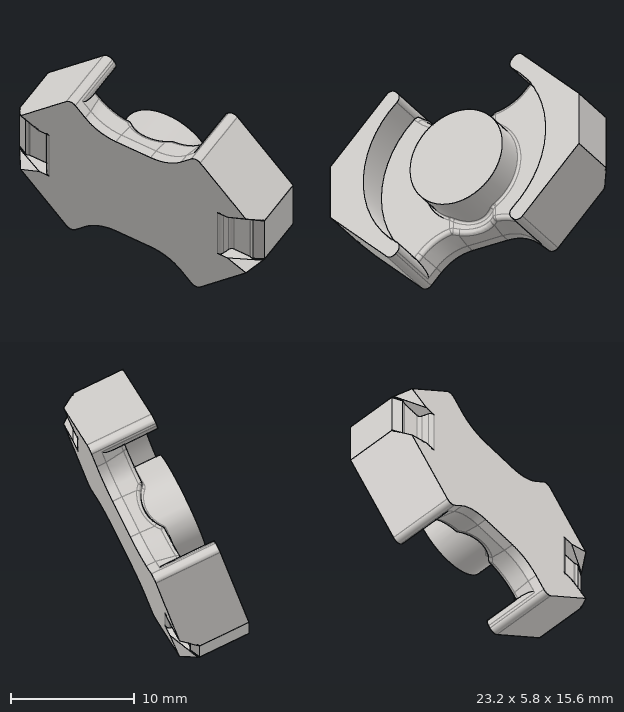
import cadquery as cq
import math

length_x = 23.2
depth_y = 5.8
half_x = length_x / 2
end_half_z = 2.37

bore_radius = 8.5
tip_radius = 0.6

notch_flat_half = 1.64
notch_flat_z = 5.49
notch_arc_radius = 4.1
notch_angle = math.radians(45)

straight_edge_y = 0.84
floor_y = 2.86
floor_taper = 12.0
floor_edge_radius = 0.42
hidden_corner_x = 9.5
hidden_corner_z = 3.0

groove_bottom_y = 2.06
groove_half_width = 1.97

post_radius = 4.3
post_top_y = 5.52
post_base_radius = 0.2

pocket_half_z = 2.5
pocket_taper = 3.0
pocket_mouth_y = 1.33
pocket_lip_x = 10.76
pocket_lip_y = 0.93
pocket_floor_x = 10.44
pocket_floor_y = 1.05
pocket_inner_x = 7.96
inner_wall_lean = math.radians(19.5)
inner_wall_round = 0.42
pocket_floor_radius = 0.37
lip_root_radius = 0.25

facet_corner_x = 10.67
facet_inner_x = 8.9
facet_overlap = 0.05

tolerance = 0.01

side_sum = half_x + end_half_z
arc_mid_angle = notch_angle / 2
notch_arc_end = (
    notch_flat_half + notch_arc_radius * math.sin(notch_angle),
    notch_flat_z + notch_arc_radius * (1 - math.cos(notch_angle)),
)
notch_arc_mid = (
    notch_flat_half + notch_arc_radius * math.sin(arc_mid_angle),
    notch_flat_z + notch_arc_radius * (1 - math.cos(arc_mid_angle)),
)
notch_line_offset = notch_arc_end[1] - notch_arc_end[0]
tip_x = (side_sum - notch_line_offset) / 2
tip_z = (side_sum + notch_line_offset) / 2


def plane_at(y):
    """Workplane parallel to XZ at height y, with local x = X, local y = Z, normal -Y."""
    return cq.Workplane("XZ", origin=(0, y, 0))


def add_notch(outline, sign):
    """Draw one notch from its sloping side at sign * X to the opposite one, at sign * Z."""
    return (
        outline.lineTo(sign * notch_arc_end[0], sign * notch_arc_end[1])
        .threePointArc(
            (sign * notch_arc_mid[0], sign * notch_arc_mid[1]),
            (sign * notch_flat_half, sign * notch_flat_z),
        )
        .lineTo(-sign * notch_flat_half, sign * notch_flat_z)
        .threePointArc(
            (-sign * notch_arc_mid[0], sign * notch_arc_mid[1]),
            (-sign * notch_arc_end[0], sign * notch_arc_end[1]),
        )
    )


def notched_outline(y, corner_x, corner_z, side_x, side_z):
    """Closed outline with both notches, its wall corners and its end corners."""
    outline = plane_at(y).moveTo(side_x, side_z).lineTo(corner_x, corner_z)
    outline = add_notch(outline, 1)
    outline = outline.lineTo(-corner_x, corner_z).lineTo(-side_x, side_z)
    outline = outline.lineTo(-side_x, -side_z).lineTo(-corner_x, -corner_z)
    outline = add_notch(outline, -1)
    return outline.lineTo(corner_x, -corner_z).lineTo(side_x, -side_z).close()


def full_block(y_low, y_high):
    """The outer shape with rounded tips between two heights."""
    block = notched_outline(y_low, tip_x, tip_z, half_x, end_half_z).extrude(y_low - y_high)
    tips = block.edges("|Y").filter(lambda e: abs(e.Center().z) > tip_z - tolerance)
    return tips.fillet(tip_radius)


def make_walls():
    """The two end walls, with their inner tip edges rounded."""
    walls = full_block(0, depth_y).cut(plane_at(0).circle(bore_radius).extrude(-depth_y))
    inner_tips = walls.edges("|Y").filter(
        lambda e: abs(math.hypot(e.Center().x, e.Center().z) - bore_radius) < tolerance
    )
    return inner_tips.fillet(tip_radius)


def make_floor_and_post():
    """Tapered floor with its lead groove and the post standing on it, all edges rounded."""
    shoulder_x = tip_x - tip_radius * math.sin(notch_angle)
    shoulder_z = shoulder_x + notch_line_offset
    rim_limit_x = shoulder_x - tolerance
    floor = notched_outline(
        straight_edge_y, shoulder_x, shoulder_z, hidden_corner_x, hidden_corner_z
    ).extrude(straight_edge_y - floor_y, taper=floor_taper)

    groove = (
        cq.Workplane("XY")
        .moveTo(-groove_half_width, floor_y)
        .threePointArc((0, groove_bottom_y), (groove_half_width, floor_y))
        .close()
        .extrude(tip_z, both=True)
    )
    floor = floor.cut(groove)
    floor = floor.edges("|Z").edges(">Y").fillet(floor_edge_radius)

    def on_notch_rim(edge):
        """True for the top edges along the notches, groove ends included."""
        center = edge.Center()
        above_groove = edge.BoundingBox().ymin > groove_bottom_y - tolerance
        along_notch = abs(center.z) > post_radius and abs(center.x) < rim_limit_x
        return above_groove and along_notch

    floor = floor.edges().filter(on_notch_rim).fillet(floor_edge_radius)

    post = plane_at(straight_edge_y).circle(post_radius).extrude(straight_edge_y - post_top_y)
    floor = floor.union(post)

    def on_post_base(edge):
        """True for the edges where the post meets the floor and the groove."""
        box = edge.BoundingBox()
        middle = edge.positionAt(0.5)
        on_post = abs(math.hypot(middle.x, middle.z) - post_radius) < tolerance
        at_floor = groove_bottom_y - tolerance < box.ymin and box.ymax < floor_y + tolerance
        return on_post and at_floor

    return floor.edges().filter(on_post_base).fillet(post_base_radius)


def make_pocket():
    """Cutter for the terminal pocket at the +X end, with its two facets."""

    def on_mouth_round(turn):
        """Point on the rounded mouth after turning away from the mounting face."""
        return (
            pocket_inner_x + inner_wall_round * math.sin(turn),
            inner_wall_round * (1 - math.cos(turn)),
        )

    full_turn = math.pi / 2 - inner_wall_lean
    wall_start_x, wall_start_y = on_mouth_round(full_turn)
    wall_end_x = wall_start_x + (pocket_floor_y - wall_start_y) * math.tan(inner_wall_lean)
    profile = (
        cq.Workplane("XY")
        .moveTo(pocket_inner_x, 0)
        .threePointArc(on_mouth_round(full_turn / 2), (wall_start_x, wall_start_y))
        .lineTo(wall_end_x, pocket_floor_y)
        .lineTo(pocket_floor_x, pocket_floor_y)
        .lineTo(pocket_lip_x, pocket_lip_y)
        .lineTo(half_x, pocket_mouth_y)
        .lineTo(half_x, 0)
        .close()
        .extrude(2 * pocket_half_z, both=True)
    )
    inner_floor_corner = cq.selectors.NearestToPointSelector((wall_end_x, pocket_floor_y, 0))
    lip_root = cq.selectors.NearestToPointSelector((pocket_floor_x, pocket_floor_y, 0))
    profile = profile.edges("|Z").edges(inner_floor_corner).fillet(pocket_floor_radius)
    profile = profile.edges("|Z").edges(lip_root).fillet(lip_root_radius)
    tapered_side = (
        cq.Workplane("XZ")
        .rect(2 * length_x, 2 * pocket_half_z)
        .extrude(-2 * pocket_mouth_y, taper=pocket_taper)
    )
    pocket = profile.intersect(tapered_side)
    upper_facet = make_facet()
    return pocket.union(upper_facet).union(upper_facet.mirror("XY"))


def make_facet():
    """Cutter for the slanted facet beside the +X pocket, on its +Z side."""
    on_side = cq.Vector(facet_corner_x, 0, side_sum - facet_corner_x)
    on_pocket = cq.Vector(facet_inner_x, 0, pocket_half_z)
    on_end = cq.Vector(half_x, pocket_mouth_y, end_half_z)
    corners = [
        on_side + (on_side - on_pocket) * facet_overlap,
        on_pocket + (on_pocket - on_side) * facet_overlap,
        on_end + (on_end - on_side) * facet_overlap + (on_end - on_pocket) * facet_overlap,
    ]
    facet = cq.Face.makeFromWires(cq.Wire.makePolygon(corners, close=True))
    return cq.Workplane(cq.Solid.extrudeLinear(facet, cq.Vector(0, -2 * pocket_mouth_y, 0)))


mounting_plate = full_block(0, straight_edge_y)
result = mounting_plate.union(make_walls()).union(make_floor_and_post())
pocket = make_pocket()
result = result.cut(pocket).cut(pocket.mirror("YZ"))